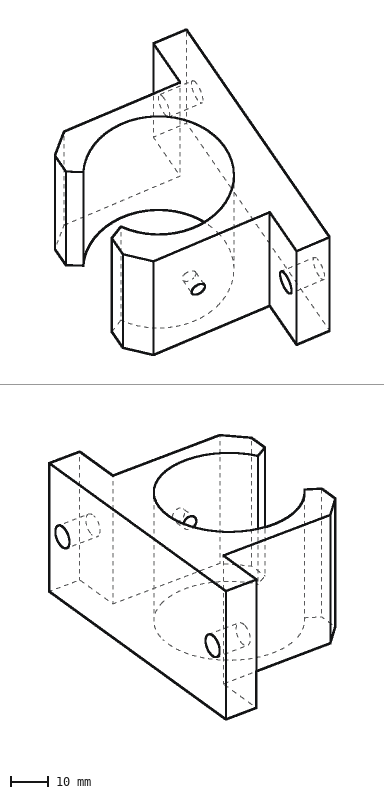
import cadquery as cq
import math

plate_length = 80.0
plate_thickness = 10.0
height = 40.0
body_width = 50.0
bore_radius = 20.0
bore_to_front = 21.0
corner_chamfer = 6.0
mouth_inner_width = 21.0
mouth_outer_width = 25.6
screw_diameter = 6.4
screw_spacing = 68.0
set_screw_diameter = 4.0
set_screw_y = -1.5

plate_front = bore_radius
front_face = -bore_to_front
mouth_inner_y = -math.sqrt(bore_radius**2 - (mouth_inner_width / 2) ** 2)


def make_plate():
    return (
        cq.Workplane("XY")
        .center(0, plate_front + plate_thickness / 2)
        .rect(plate_length, plate_thickness)
        .extrude(height)
    )


def make_body():
    """Block carrying the jaws, with its two front corners chamfered."""
    depth = plate_front + plate_thickness - front_face
    return (
        cq.Workplane("XY")
        .center(0, front_face + depth / 2)
        .rect(body_width, depth)
        .extrude(height)
        .edges("|Z and <Y")
        .chamfer(corner_chamfer)
    )


def make_clip_opening():
    """Pipe bore joined to a mouth that flares towards the front."""
    bore = cq.Workplane("XY").circle(bore_radius).extrude(height)
    mouth = (
        cq.Workplane("XY")
        .moveTo(0, 0)
        .lineTo(-mouth_inner_width / 2, mouth_inner_y)
        .lineTo(-mouth_outer_width / 2, front_face)
        .lineTo(mouth_outer_width / 2, front_face)
        .lineTo(mouth_inner_width / 2, mouth_inner_y)
        .close()
        .extrude(height)
    )
    return bore.union(mouth)


def make_screw_holes():
    """Through holes in the two plate ears."""
    return (
        cq.Workplane("XZ", origin=(0, plate_front + plate_thickness, height / 2))
        .pushPoints([(-screw_spacing / 2, 0), (screw_spacing / 2, 0)])
        .circle(screw_diameter / 2)
        .extrude(plate_thickness)
    )


def make_set_screw_hole():
    """Cross hole from the bore out through the +X side wall."""
    return (
        cq.Workplane("YZ", origin=(0, set_screw_y, height / 2))
        .circle(set_screw_diameter / 2)
        .extrude(body_width / 2)
    )


result = (
    make_plate()
    .union(make_body())
    .cut(make_clip_opening())
    .cut(make_screw_holes())
    .cut(make_set_screw_hole())
)